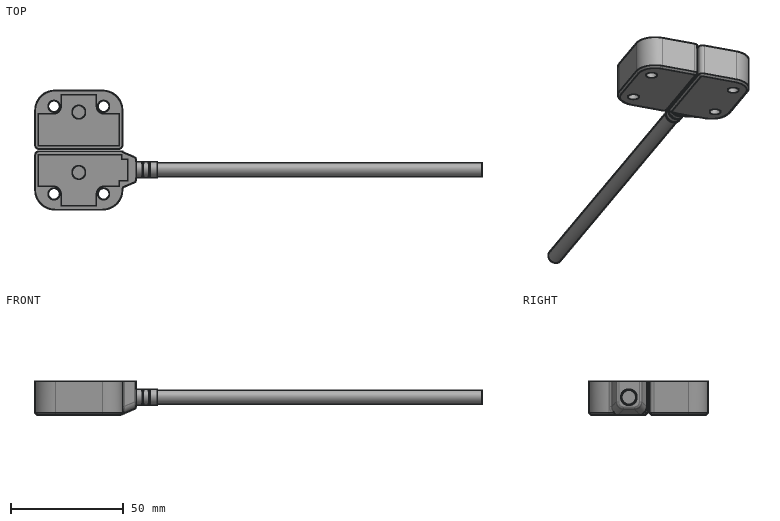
import cadquery as cq

total_length = 198.2
height = 15.0
housing_length = 38.8
total_width = 53.0
housing_gap = 0.8
outer_face_y = total_width / 2
inner_face_y = housing_gap / 2
outer_corner_radius = 9.0
inner_corner_radius = 2.0
bottom_chamfer = 1.0

center_x = housing_length / 2
hole_spacing = 22.0
hole_y = 19.5
hole_diameter = 5.0

lid_depth = 2.0
lid_left_x = 1.4
lid_right_x = 37.3
lid_inner_y = 2.0
lid_shoulder_y = 16.0
lid_outer_y = 24.5
lid_tab_width = 15.7
lid_tab_radius = 3.5

lid_extension_end_x = 41.2
lid_extension_width = 9.5
lid_step_x = 38.5

disc_radius = 3.0
disc_depth = 1.0
magnet_disc_y = 16.8
sensor_disc_y = -10.0

cable_y = -8.7
cable_z = 8.0
cable_radius = 3.2

neck_start_x = housing_length - bottom_chamfer
neck_end_x = 44.8
neck_start_half_width = -cable_y - inner_face_y
neck_end_half_width = 5.4
neck_slope_rise = 3.0
neck_bottom_radius = 3.5
neck_corner_radius = 1.2
neck_root_radius = 1.2

collar_radius = 3.5
collar_end_x = 54.3
groove_radius = 2.8
groove_width = 0.5
groove_centers_x = [47.8, 50.7]

pick_margin = 0.2


def mirrored(body):
    """The same body on the -Y side."""
    return body.mirror("XZ")


def block_between(x_start, x_end, y_start, y_end, z_start, z_end):
    """Rectangular block between the given coordinates."""
    block = cq.Workplane("XY").box(x_end - x_start, y_end - y_start, z_end - z_start, centered=False)
    return block.translate((x_start, y_start, z_start))


def make_housing_block(inner_corners):
    """Housing on the +Y side with two through holes; the selected inner corners are rounded."""
    block = block_between(0, housing_length, inner_face_y, outer_face_y, 0, height)
    block = block.edges("|Z and >Y").fillet(outer_corner_radius)
    block = block.edges(inner_corners).fillet(inner_corner_radius)
    block = block.faces("<Z").edges().chamfer(bottom_chamfer)
    hole_points = [(center_x + side * hole_spacing / 2, hole_y) for side in (-1, 1)]
    holes = cq.Workplane("XY").pushPoints(hole_points).circle(hole_diameter / 2).extrude(height)
    return block.cut(holes)


def make_neck():
    """Neck that narrows towards the cable, with a rising underside and rounded lower edges."""
    outline = [
        (neck_start_x, cable_y + neck_start_half_width),
        (neck_end_x, cable_y + neck_end_half_width),
        (neck_end_x, cable_y - neck_end_half_width),
        (neck_start_x, cable_y - neck_start_half_width),
    ]
    neck = cq.Workplane("XY").polyline(outline).close().extrude(height)
    underside = (
        cq.Workplane("XZ")
        .moveTo(neck_start_x, 0)
        .lineTo(neck_end_x, neck_slope_rise)
        .lineTo(neck_end_x, 0)
        .close()
        .extrude(outer_face_y)
    )
    neck = neck.cut(underside)
    lower_half = cq.selectors.BoxSelector(
        (neck_start_x, -outer_face_y, 0), (neck_end_x, 0, height / 2)
    )
    neck = neck.edges("not (|X or |Y or |Z)").edges(lower_half).fillet(neck_bottom_radius)
    return neck.edges("|Z and >X").fillet(neck_corner_radius)


def make_sensor_housing():
    """Housing on the -Y side, with the neck blended into its +X face."""
    housing = mirrored(make_housing_block("|Z and <Y and <X")).union(make_neck())
    neck_root = cq.selectors.BoxSelector(
        (housing_length - pick_margin, -hole_y, 0),
        (housing_length + pick_margin, cable_y - neck_end_half_width, height),
    )
    return housing.edges("|Z").edges(neck_root).fillet(neck_root_radius)


def lid_block(x_start, x_end, y_start, y_end):
    """Block of lid thickness, flush with the top of the housings."""
    return block_between(x_start, x_end, y_start, y_end, height - lid_depth, height)


def make_lid():
    """Lid on the +Y side: a rectangle with a tab that passes between the two holes."""
    plate = lid_block(lid_left_x, lid_right_x, lid_inner_y, lid_shoulder_y)
    tab_left_x = center_x - lid_tab_width / 2
    tab_right_x = center_x + lid_tab_width / 2
    tab = lid_block(tab_left_x, tab_right_x, lid_inner_y, lid_outer_y)
    tab_corners = cq.selectors.BoxSelector(
        (tab_left_x - pick_margin, lid_shoulder_y - pick_margin, 0),
        (tab_right_x + pick_margin, lid_shoulder_y + pick_margin, height),
    )
    return plate.union(tab).edges("|Z").edges(tab_corners).fillet(lid_tab_radius)


def make_sensor_lid():
    """Lid on the -Y side, with a stepped extension reaching into the neck."""
    extension_low_y = cable_y - lid_extension_width / 2
    extension_high_y = cable_y + lid_extension_width / 2
    extension = lid_block(center_x, lid_extension_end_x, extension_low_y, extension_high_y)
    step = lid_block(center_x, lid_step_x, cable_y, -lid_inner_y)
    return mirrored(make_lid()).union(extension).union(step)


def make_disc(disc_y):
    """Round marker, flush with the top of the lid."""
    plane = cq.Workplane("XY", origin=(center_x, disc_y, height - disc_depth))
    return plane.circle(disc_radius).extrude(disc_depth)


def make_cable():
    """Cable with the grooved strain relief, butting against the end of the neck."""
    profile = cq.Workplane("XY").moveTo(neck_end_x, 0).lineTo(neck_end_x, collar_radius)
    for groove_x in groove_centers_x:
        groove_start = groove_x - groove_width / 2
        groove_end = groove_x + groove_width / 2
        profile = (
            profile.lineTo(groove_start, collar_radius)
            .lineTo(groove_start, groove_radius)
            .lineTo(groove_end, groove_radius)
            .lineTo(groove_end, collar_radius)
        )
    profile = (
        profile.lineTo(collar_end_x, collar_radius)
        .lineTo(collar_end_x, cable_radius)
        .lineTo(total_length, cable_radius)
        .lineTo(total_length, 0)
        .close()
    )
    cable = profile.revolve(360, (0, 0, 0), (1, 0, 0))
    return cable.translate((0, cable_y, cable_z))


magnet_disc, sensor_disc = [make_disc(disc_y) for disc_y in (magnet_disc_y, sensor_disc_y)]
full_magnet_lid = make_lid()
full_sensor_lid = make_sensor_lid()
magnet_lid = full_magnet_lid.cut(magnet_disc)
sensor_lid = full_sensor_lid.cut(sensor_disc)
magnet_housing = make_housing_block("|Z and <Y").cut(full_magnet_lid)
sensor_housing = make_sensor_housing().cut(full_sensor_lid)
cable = make_cable()

result = cq.Compound.makeCompound(
    [
        magnet_housing.val(),
        sensor_housing.val(),
        magnet_lid.val(),
        sensor_lid.val(),
        magnet_disc.val(),
        sensor_disc.val(),
        cable.val(),
    ]
)